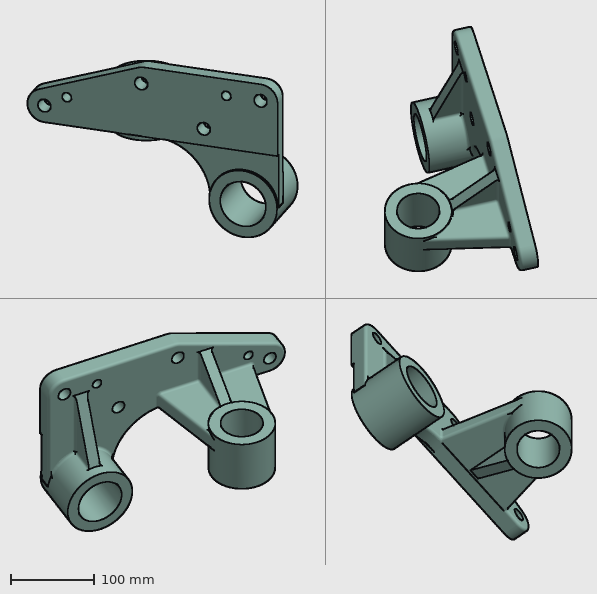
import cadquery as cq
import math


plate_length = 319.5
plate_height = 91.0
plate_thickness = 22.5
corner_radius = 21.7
bend_x = 149.2
edge_round = 3.8
web_recess = 3.8

bolt_diameter = 16.3
pin_diameter = 11.8
low_row_z = corner_radius
high_row_z = plate_height - corner_radius
bolt_points = [
    (corner_radius, low_row_z),
    (225.2, low_row_z),
    (145.5, high_row_z),
    (plate_length - corner_radius, high_row_z),
]
pin_points = [(50.5, 37.0), (254.0, high_row_z)]

lower_radius = 43.5
lower_bore_radius = 29.0
lower_depth = 73.0
lower_x = 275.5
lower_z = -69.3

rear_radius = 40.2
rear_bore_radius = 25.5
rear_x = 108.5
rear_y = 120.0
rear_top_z = 26.5
rear_bottom_z = -43.0
rear_front_y = rear_y - rear_radius

shelf_thickness = 22.5
shelf_taper = math.radians(13.0)

rib_width = 14.7
upper_rib_top_z = 67.7
under_rib_bottom_z = -36.7
lower_rib_top_z = 62.3
lower_rib_reach_y = 58.8

root_blend = 3.5
top_collar_blend = 1.5
under_collar_blend = 3.0

overlap = 3.2
root_y = plate_thickness - overlap


def draw_facing_front(start_y):
    """Workplane at start_y whose local axes are X and Z; a negative extrusion goes back."""
    return cq.Workplane("XZ", origin=(0, start_y, 0))


def edges_within(low_corner, high_corner):
    """Selector for edges whose centre lies in the given box."""
    return cq.selectors.BoxSelector(low_corner, high_corner)


def make_plate():
    half_slope = math.atan2(high_row_z - low_row_z, bend_x - corner_radius) / 2
    tip = (corner_radius - corner_radius / math.tan(half_slope), 0)
    bend = (bend_x - corner_radius * math.tan(half_slope), plate_height)
    top_right = (plate_length, plate_height)
    sharp_corners = [tip, bend, top_right]

    def round_corners(layer):
        for x, z in sharp_corners:
            corner_edge = edges_within(
                (x - overlap, 0, z - overlap), (x + overlap, plate_thickness, z + overlap)
            )
            layer = layer.edges("|Y").edges(corner_edge).fillet(corner_radius)
        return layer

    front_layer = (
        draw_facing_front(0)
        .polyline(sharp_corners + [(plate_length, 0)])
        .close()
        .extrude(-web_recess)
    )

    hollow_radius = -lower_z
    hollow_end_x = lower_x - lower_radius
    hollow_x = hollow_end_x - hollow_radius
    hollow_offset = hollow_radius * math.sqrt(0.5)
    main_layer = (
        draw_facing_front(web_recess)
        .polyline(sharp_corners + [(plate_length, lower_z), (hollow_end_x, lower_z)])
        .threePointArc((hollow_x + hollow_offset, lower_z + hollow_offset), (hollow_x, 0))
        .close()
        .extrude(web_recess - plate_thickness)
    )
    main_layer = round_corners(main_layer)
    main_layer = main_layer.faces(">Y").edges("not(<Z)").fillet(edge_round)
    return round_corners(front_layer).union(main_layer)


def make_shelf():
    tangent_x = rear_radius * math.cos(shelf_taper)
    tangent_y = rear_y + rear_radius * math.sin(shelf_taper)
    root_x = tangent_x + (tangent_y - root_y) * math.tan(shelf_taper)
    shelf = (
        cq.Workplane("XY")
        .polyline([
            (rear_x - root_x, root_y),
            (rear_x + root_x, root_y),
            (rear_x + tangent_x, tangent_y),
            (rear_x - tangent_x, tangent_y),
        ])
        .close()
        .extrude(shelf_thickness)
    )
    return shelf.edges("#Z").edges("not(|X)").fillet(edge_round)


def make_rib(center_x, yz_points):
    """Rib of constant width, centred on center_x, with its profile in the YZ plane."""
    side = cq.Workplane("YZ", origin=(center_x - rib_width / 2, 0, 0))
    return side.polyline(yz_points).close().extrude(rib_width)


def make_upper_rib():
    foot_z = shelf_thickness - overlap
    return make_rib(rear_x, [
        (root_y, foot_z),
        (root_y, upper_rib_top_z),
        (plate_thickness, upper_rib_top_z),
        (rear_front_y, shelf_thickness),
        (rear_front_y, foot_z),
    ])


def make_under_rib():
    return make_rib(rear_x, [
        (plate_thickness, overlap),
        (plate_thickness, 0),
        (rear_front_y, under_rib_bottom_z),
        (rear_y, under_rib_bottom_z),
        (rear_y, overlap),
    ])


def make_lower_rib():
    crown_z = lower_z + lower_radius
    run_per_drop = (lower_rib_reach_y - plate_thickness) / (lower_rib_top_z - crown_z)
    end_y = lower_rib_reach_y + overlap * run_per_drop
    foot_z = crown_z - overlap
    return make_rib(lower_x, [
        (root_y, foot_z),
        (root_y, lower_rib_top_z),
        (plate_thickness, lower_rib_top_z),
        (end_y, foot_z),
    ])


def make_collar(radius, blend):
    """Ring with a hollow quarter-round profile around Z, widest at Z = 0."""
    dip = blend * (1 - math.sqrt(0.5))
    return (
        cq.Workplane("XZ")
        .moveTo(radius - overlap, 0)
        .lineTo(radius + blend, 0)
        .threePointArc((radius + dip, dip), (radius, blend))
        .lineTo(radius - overlap, blend)
        .close()
        .revolve(360, (0, 0, 0), (0, 1, 0))
    )


def clip_to_face(collar, face, depth):
    """Keep the part of the collar that stands on the given flat face."""
    room = cq.Solid.extrudeLinear(face.outerWire(), [], face.normalAt() * depth)
    return collar.intersect(cq.Workplane(room))


def make_rear_boss():
    boss = cq.Workplane("XY", origin=(rear_x, rear_y, rear_bottom_z)).circle(rear_radius)
    return boss.extrude(rear_top_z - rear_bottom_z)


def make_rear_collars(shelf):
    top = make_collar(rear_radius, top_collar_blend).translate((rear_x, rear_y, shelf_thickness))
    top = clip_to_face(top, shelf.faces(">Z").val(), top_collar_blend)

    under = make_collar(rear_radius, under_collar_blend).mirror("XY").translate((rear_x, rear_y, 0))
    under = clip_to_face(under, shelf.faces("<Z").val(), under_collar_blend)
    span = 2 * (rear_radius + under_collar_blend)
    right_side = cq.Workplane("XY").box(span, span, span, centered=(False, True, True))
    under = under.intersect(right_side.translate((rear_x, rear_y, 0)))
    return top.union(under)


def make_lower_boss_with_rib():
    boss = draw_facing_front(0).center(lower_x, lower_z).circle(lower_radius).extrude(-lower_depth)
    boss = boss.union(make_lower_rib())
    crown_z = lower_z + lower_radius
    rib_feet = edges_within(
        (lower_x - rib_width, root_y, crown_z - overlap / 2),
        (lower_x + rib_width, lower_rib_reach_y, crown_z),
    )
    return boss.edges("|Y").edges(rib_feet).fillet(root_blend)


def make_lower_collar(plate):
    collar = make_collar(lower_radius, root_blend).rotate((0, 0, 0), (1, 0, 0), -90)
    collar = collar.translate((lower_x, plate_thickness, lower_z))
    return clip_to_face(collar, plate.faces(">Y").val(), root_blend)


def blend_roots(body):
    """Round the inside corners of the upper rib, the shelf's root and the lower rib."""
    margin = root_blend / 2
    rear_corners = edges_within(
        (rear_x - rear_radius, plate_thickness - margin, shelf_thickness - margin / 2),
        (rear_x + rear_radius, rear_front_y - margin, upper_rib_top_z - margin),
    )
    lower_rib_corners = edges_within(
        (lower_x - rib_width, plate_thickness - margin, 0),
        (lower_x + rib_width, plate_thickness + margin, lower_rib_top_z),
    )
    body = body.edges("|X or |Y or |Z").edges(rear_corners).fillet(root_blend)
    return body.edges("|Z").edges(lower_rib_corners).fillet(root_blend)


def drill_plate(body, points, diameter):
    return body.cut(
        draw_facing_front(0).pushPoints(points).circle(diameter / 2).extrude(-plate_thickness)
    )


plate = make_plate()
shelf = make_shelf()

bracket = plate.union(shelf).union(make_upper_rib()).union(make_lower_rib())
bracket = blend_roots(bracket).union(make_under_rib())

bracket = bracket.union(make_rear_boss()).union(make_rear_collars(shelf))
bracket = bracket.union(make_lower_boss_with_rib()).union(make_lower_collar(plate))

rear_bore = cq.Workplane("XY", origin=(rear_x, rear_y, rear_bottom_z)).circle(rear_bore_radius)
bracket = bracket.cut(rear_bore.extrude(rear_top_z - rear_bottom_z))
lower_bore = draw_facing_front(0).center(lower_x, lower_z).circle(lower_bore_radius)
bracket = bracket.cut(lower_bore.extrude(-lower_depth))
bracket = drill_plate(bracket, bolt_points, bolt_diameter)
result = drill_plate(bracket, pin_points, pin_diameter)